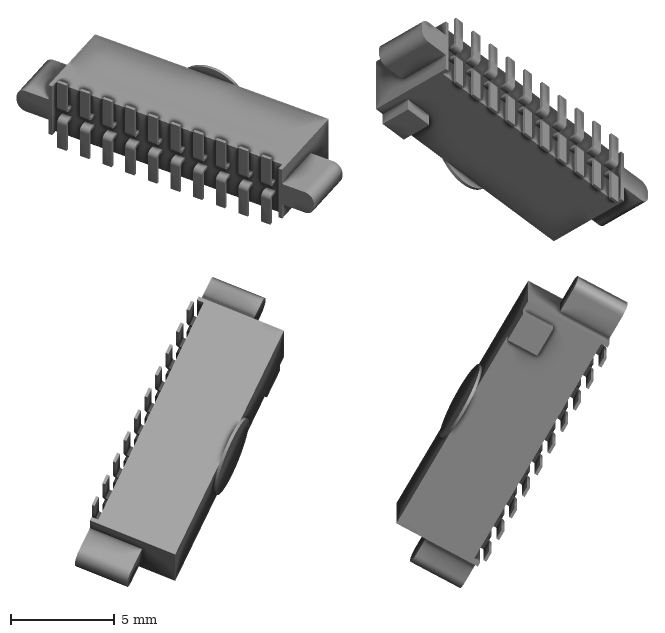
import cadquery as cq
import math


housing_width = 13.08
housing_height = 3.05
housing_length = 4.53

end_wall = 0.2
recess_depth = 0.38

overall_width = 16.64
peg_height = 1.26
peg_length = 2.76
peg_corner_radius = 0.52

key_left = -6.04
key_width = 1.55
key_length = 1.65
key_height = 0.63

plate_thickness = 0.025

disc_diameter = 4.0
disc_thickness = 0.15

contacts_per_row = 10
row_span = 11.42
contact_width = 0.52
contact_thickness = 0.15
bend_outer_radius = 0.25
row_gap = 0.52
tip_to_tip = 4.08

half_width = housing_width / 2
half_height = housing_height / 2
front_y = -housing_length
floor_y = front_y + recess_depth
recess_half_width = half_width - end_wall

contact_pitch = row_span / (contacts_per_row - 1)
contact_front_y = front_y - contact_thickness
contact_positions = [index * contact_pitch - row_span / 2 for index in range(contacts_per_row)]


def box_between(x_range, y_range, z_range):
    """Box given by its lowest and highest X, Y and Z."""
    lows, highs = zip(x_range, y_range, z_range)
    sizes = [high - low for low, high in zip(lows, highs)]
    return cq.Workplane("XY").box(*sizes, centered=False).translate(lows)


def make_contact(x_centre, side):
    """L-shaped strip that leaves the recess floor and bends up (side 1) or down (side -1)."""
    inner_z = row_gap / 2
    outer_z = inner_z + contact_thickness
    bend_y = contact_front_y + bend_outer_radius
    bend_z = inner_z + bend_outer_radius
    tip_z = tip_to_tip / 2
    bend_inner_radius = bend_outer_radius - contact_thickness
    outer_offset = bend_outer_radius * math.sqrt(0.5)
    inner_offset = bend_inner_radius * math.sqrt(0.5)
    return (
        cq.Workplane("YZ", origin=(x_centre - contact_width / 2, 0, 0))
        .moveTo(floor_y, side * inner_z)
        .lineTo(bend_y, side * inner_z)
        .threePointArc(
            (bend_y - outer_offset, side * (bend_z - outer_offset)),
            (contact_front_y, side * bend_z),
        )
        .lineTo(contact_front_y, side * tip_z)
        .lineTo(front_y, side * tip_z)
        .lineTo(front_y, side * bend_z)
        .threePointArc(
            (bend_y - inner_offset, side * (bend_z - inner_offset)),
            (bend_y, side * outer_z),
        )
        .lineTo(floor_y, side * outer_z)
        .close()
        .extrude(contact_width)
    )


def make_contacts():
    """All the contacts of both rows."""
    return [make_contact(x_centre, side) for side in (1, -1) for x_centre in contact_positions]


def make_housing(contacts):
    """Housing block with its recess, pegs and key, and the contacts fixed to the recess floor."""
    block = box_between((-half_width, half_width), (front_y, 0), (-half_height, half_height))
    pegs = box_between(
        (-overall_width / 2, overall_width / 2),
        (front_y, front_y + peg_length),
        (-peg_height / 2, peg_height / 2),
    ).edges("|Y").fillet(peg_corner_radius)
    recess = box_between(
        (-recess_half_width, recess_half_width), (front_y, floor_y), (-half_height, half_height)
    )
    key = box_between(
        (key_left, key_left + key_width), (-key_length, 0), (-half_height - key_height, -half_height)
    )
    body = block.union(pegs).cut(recess).union(key)
    for contact in contacts:
        body = body.union(contact)
    return body


def make_plate(contacts):
    """Thin plate that fills the recess between the end walls, slotted for every contact."""
    plate = box_between(
        (-recess_half_width, recess_half_width),
        (floor_y - plate_thickness, floor_y),
        (-half_height, half_height),
    )
    for contact in contacts:
        plate = plate.cut(contact)
    return plate


def make_disc():
    """Round disc standing on the back face of the housing."""
    return cq.Workplane("XZ").circle(disc_diameter / 2).extrude(-disc_thickness)


contacts = make_contacts()
housing = make_housing(contacts)
plate = make_plate(contacts)
disc = make_disc()

result = cq.Compound.makeCompound([housing.solids().val(), plate.solids().val(), disc.val()])